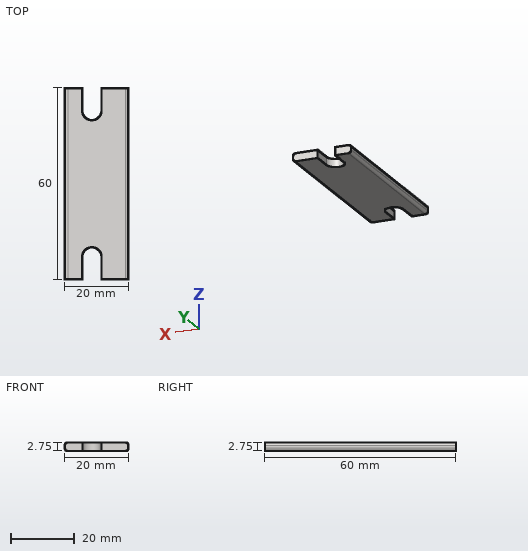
import cadquery as cq

length = 60.0
width = 20.0
thickness = 2.75
edge_radius = 0.95

slot_width = 6.0
slot_depth = 10.0
slot_center_from_left = 8.5

slot_x = slot_center_from_left - width / 2


def make_plate():
    """Flat bar with its four long edges rounded."""
    return cq.Workplane("XY").box(width, length, thickness).edges("|Y").fillet(edge_radius)


def make_slot(end):
    """Round-bottomed through slot; end is +1 or -1 along Y."""
    return (
        cq.Workplane("XY")
        .center(slot_x, end * length / 2)
        .slot2D(2 * slot_depth, slot_width, 90)
        .extrude(thickness, both=True)
    )


result = make_plate()
for end in (-1, 1):
    result = result.cut(make_slot(end))